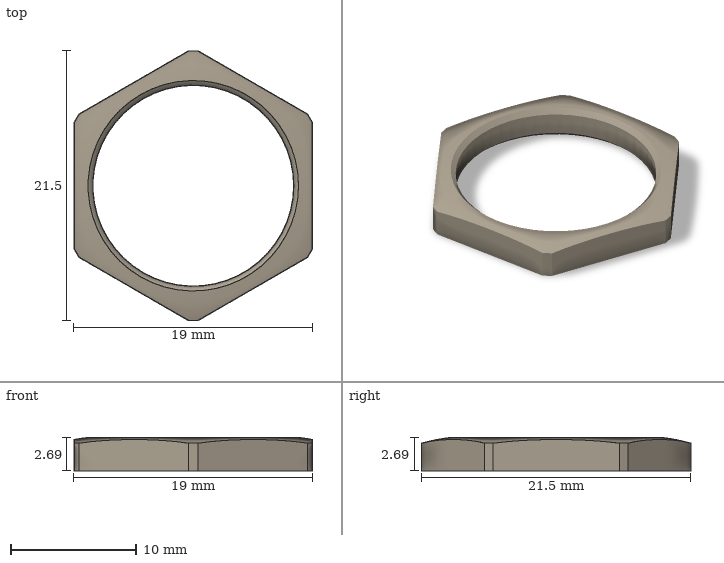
import cadquery as cq
import math

SIDES = 6
ACROSS_FLATS = 19.0
CORNER_DIAMETER = 21.5
HEIGHT = 2.69
CORNER_HEIGHT = 2.225
CROWN_ARC_RADIUS = 16.0
BORE_DIAMETER = 16.0
TOP_CHAMFER = 0.39
BOTTOM_CHAMFER = 0.5

CORNER_RADIUS = CORNER_DIAMETER / 2
BORE_RADIUS = BORE_DIAMETER / 2
ACROSS_SHARP_CORNERS = ACROSS_FLATS / math.cos(math.pi / SIDES)


def turned_ring():
    """Ring with a crowned top, a flat base and a bore chamfered at both ends."""
    upper_rim = (BORE_RADIUS + TOP_CHAMFER, HEIGHT)
    profile = (
        cq.Workplane("XZ")
        .moveTo(BORE_RADIUS + BOTTOM_CHAMFER, 0)
        .lineTo(CORNER_RADIUS, 0)
        .lineTo(CORNER_RADIUS, CORNER_HEIGHT)
        .radiusArc(upper_rim, -CROWN_ARC_RADIUS)
        .lineTo(BORE_RADIUS, HEIGHT - TOP_CHAMFER)
        .lineTo(BORE_RADIUS, BOTTOM_CHAMFER)
        .close()
    )
    return profile.revolve(360, (0, 0), (0, 1))


def hexagon_prism():
    """Hexagonal prism with two sharp corners on the Y axis."""
    prism = cq.Workplane("XY").polygon(SIDES, ACROSS_SHARP_CORNERS).extrude(HEIGHT)
    return prism.rotate((0, 0, 0), (0, 0, 1), 180 / SIDES)


result = turned_ring().intersect(hexagon_prism())